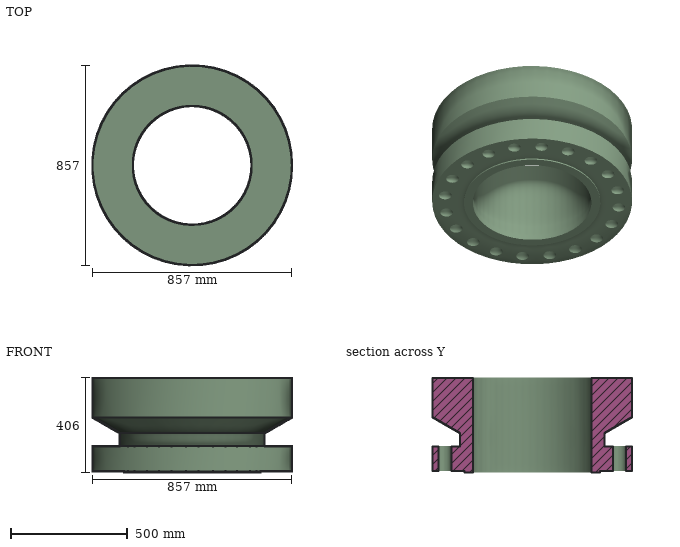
import cadquery as cq
import math

outer_diameter = 857.0
total_height = 406.0
bore_diameter = 508.0

raised_face_diameter = 585.0
raised_face_height = 6.0

flange_thickness = 108.0
bolt_count = 20
bolt_circle_diameter = 749.0
bolt_hole_diameter = 54.0

neck_diameter = 622.0
cone_angle = 30.0
upper_ring_height = 169.0

outer_radius = outer_diameter / 2
bore_radius = bore_diameter / 2
neck_radius = neck_diameter / 2
raised_face_radius = raised_face_diameter / 2

flange_bottom = raised_face_height
flange_top = flange_bottom + flange_thickness
cone_top = total_height - upper_ring_height
cone_height = (outer_radius - neck_radius) * math.tan(math.radians(cone_angle))
cone_bottom = cone_top - cone_height


def make_body():
    """Revolve the half section about the Z axis, with the bore left open."""
    return (
        cq.Workplane("XZ")
        .moveTo(bore_radius, 0)
        .lineTo(raised_face_radius, 0)
        .lineTo(raised_face_radius, flange_bottom)
        .lineTo(outer_radius, flange_bottom)
        .lineTo(outer_radius, flange_top)
        .lineTo(neck_radius, flange_top)
        .lineTo(neck_radius, cone_bottom)
        .lineTo(outer_radius, cone_top)
        .lineTo(outer_radius, total_height)
        .lineTo(bore_radius, total_height)
        .close()
        .revolve(360, (0, 0), (0, 1))
    )


def make_bolt_holes():
    """Cylinders on the bolt circle that pass through the flange only."""
    return (
        cq.Workplane("XY", origin=(0, 0, flange_bottom))
        .polarArray(bolt_circle_diameter / 2, 0, 360, bolt_count)
        .circle(bolt_hole_diameter / 2)
        .extrude(flange_thickness)
    )


result = make_body().cut(make_bolt_holes())